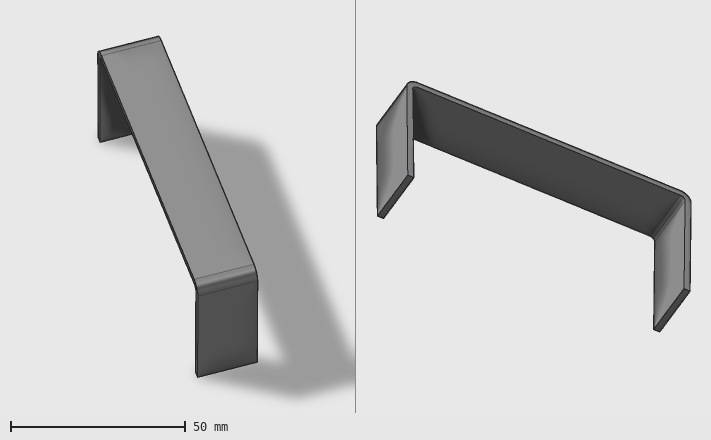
import cadquery as cq
import math

overall_width = 93.0
overall_height = 41.24
strip_depth = 18.0
thickness = 2.0
inner_bend_radius = 1.5
leg_lean_deg = 0.5

outer_bend_radius = inner_bend_radius + thickness
bend_center_x = overall_width / 2 - outer_bend_radius
bend_center_z = overall_height / 2 - outer_bend_radius
bend_angle_deg = 90.0 + leg_lean_deg
lean = math.radians(leg_lean_deg)
leg_bottom_z = -overall_height / 2


def bend_point(radius, angle_deg, side):
    """Point on a bend arc, with the angle turned outward from straight up."""
    angle = math.radians(angle_deg)
    x = bend_center_x + radius * math.sin(angle)
    z = bend_center_z + radius * math.cos(angle)
    return (side * x, z)


def leg_foot(radius, side):
    """Point where the leg face tangent to the given bend arc meets the flat foot."""
    x, z = bend_point(radius, bend_angle_deg, 1)
    return (side * (x - (z - leg_bottom_z) * math.tan(lean)), leg_bottom_z)


def add_bend(profile, radius, side, start_deg, end_deg):
    """Append one bend arc between two angles."""
    middle_deg = (start_deg + end_deg) / 2
    return profile.threePointArc(
        bend_point(radius, middle_deg, side),
        bend_point(radius, end_deg, side),
    )


def make_bracket():
    """U-shaped strip profile, extruded symmetrically along Y."""
    left, right = -1, 1
    profile = cq.Workplane("XZ").moveTo(*leg_foot(outer_bend_radius, left))

    profile = profile.lineTo(*bend_point(outer_bend_radius, bend_angle_deg, left))
    profile = add_bend(profile, outer_bend_radius, left, bend_angle_deg, 0)
    profile = profile.lineTo(*bend_point(outer_bend_radius, 0, right))
    profile = add_bend(profile, outer_bend_radius, right, 0, bend_angle_deg)
    profile = profile.lineTo(*leg_foot(outer_bend_radius, right))

    profile = profile.lineTo(*leg_foot(inner_bend_radius, right))
    profile = profile.lineTo(*bend_point(inner_bend_radius, bend_angle_deg, right))
    profile = add_bend(profile, inner_bend_radius, right, bend_angle_deg, 0)
    profile = profile.lineTo(*bend_point(inner_bend_radius, 0, left))
    profile = add_bend(profile, inner_bend_radius, left, 0, bend_angle_deg)
    profile = profile.lineTo(*leg_foot(inner_bend_radius, left))

    return profile.close().extrude(strip_depth / 2, both=True)


result = make_bracket()